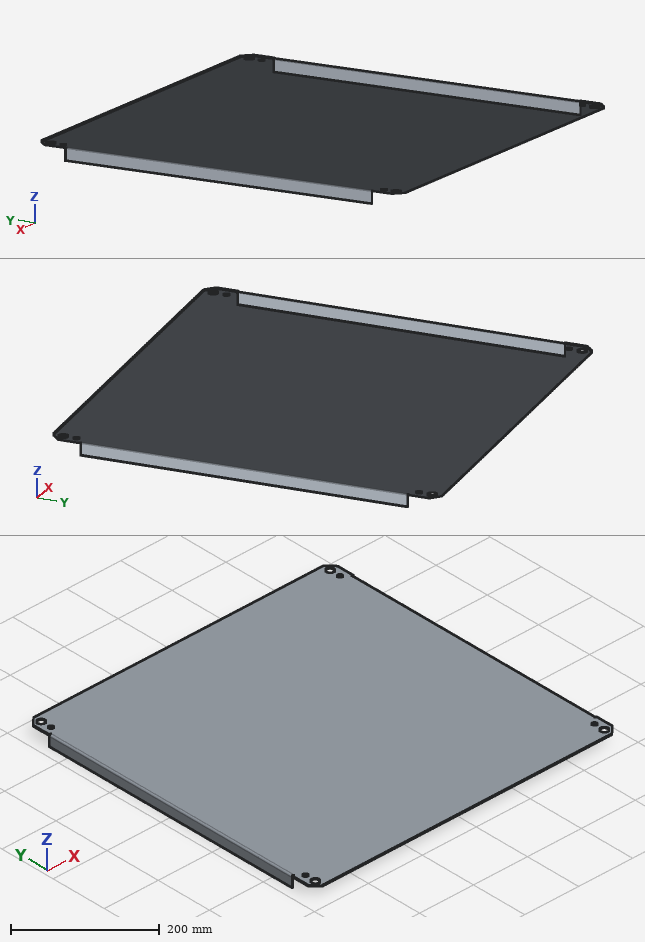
import cadquery as cq

side = 564.0
height = 20.0
thickness = 2.0
bend_inner_radius = 1.0
bend_outer_radius = bend_inner_radius + thickness

corner_cut = 13.0
flange_end_gap = 44.5

hole_inset = 14.0
corner_hole_diameter = 13.0
small_hole_diameter = 8.0
small_hole_offset = 19.0

half_side = side / 2
flange_length = side - 2 * flange_end_gap
corner_hole_spacing = side - 2 * hole_inset
small_hole_spacing_y = corner_hole_spacing - 2 * small_hole_offset


def flat_panel():
    """Flat sheet with its four corners cut off at 45 degrees."""
    sheet = cq.Workplane("XY").box(side, side, thickness, centered=(True, True, False))
    return sheet.translate((0, 0, -thickness)).edges("|Z").chamfer(corner_cut)


def bend_clearance():
    """Block removing the square sheet edge where the +X flange is bent."""
    block = cq.Workplane("XY").box(bend_outer_radius, flange_length, thickness)
    return block.translate((half_side - bend_outer_radius / 2, 0, -thickness / 2))


def flange():
    """Rounded bend and vertical leg along the +X side."""
    bend_start = half_side - bend_outer_radius
    leg_inner = half_side - thickness
    profile = (
        cq.Workplane("XZ", origin=(0, flange_length / 2, 0))
        .moveTo(bend_start, 0)
        .radiusArc((half_side, -bend_outer_radius), bend_outer_radius)
        .lineTo(half_side, -height)
        .lineTo(leg_inner, -height)
        .lineTo(leg_inner, -bend_outer_radius)
        .radiusArc((bend_start, -thickness), -bend_inner_radius)
        .close()
    )
    return profile.extrude(flange_length)


def holes(spacing_y, diameter):
    """Four drills, one near each corner, symmetric about both axes."""
    return (
        cq.Workplane("XY")
        .rect(corner_hole_spacing, spacing_y, forConstruction=True)
        .vertices()
        .circle(diameter / 2)
        .extrude(-thickness)
    )


result = flat_panel()
for angle in (0, 180):
    result = result.cut(bend_clearance().rotate((0, 0, 0), (0, 0, 1), angle))
    result = result.union(flange().rotate((0, 0, 0), (0, 0, 1), angle))
result = result.cut(holes(corner_hole_spacing, corner_hole_diameter))
result = result.cut(holes(small_hole_spacing_y, small_hole_diameter))